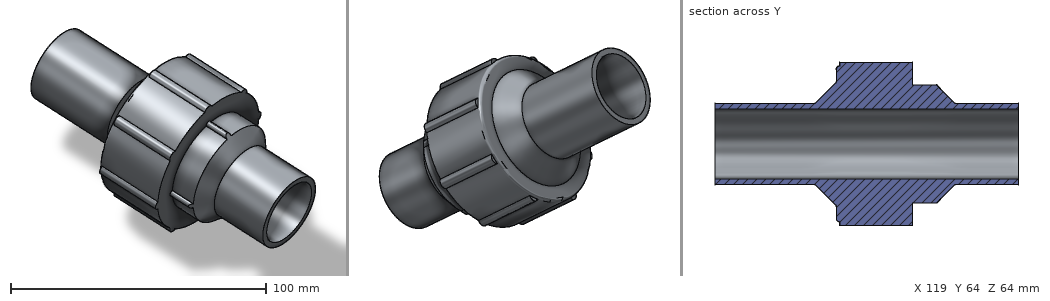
import cadquery as cq
import math


length = 119.0
pipe_radius = 16.0
bore_radius = 13.6

nut_start = 47.5
nut_end = 77.5
nut_radius = 30.6
nut_edge_rounding = 1.35
grip_count = 8
grip_tip_radius = 32.0
grip_rounding = 2.35

left_cone_radius = 24.3
left_cone_start = nut_start - (left_cone_radius - pipe_radius)

collar_radius = 21.8
collar_rib_count = 4
collar_rib_tip_radius = 23.2
collar_rib_rounding = 1.3
right_cone_end = 94.1


def cylinder_along_x(start, end, radius):
    return cq.Workplane("YZ").workplane(offset=start).circle(radius).extrude(end - start)


def revolved_about_x(points):
    return cq.Workplane("XY").polyline(points).close().revolve(360, (0, 0, 0), (1, 0, 0))


def round_ribs(start, end, tip_radius, rounding, count):
    """Rods parallel to X, equally spaced around the axis, reaching out to tip_radius."""
    centre_radius = tip_radius - rounding
    centres = []
    for index in range(count):
        angle = 2 * math.pi * index / count
        centres.append((centre_radius * math.cos(angle), centre_radius * math.sin(angle)))
    plane = cq.Workplane("YZ").workplane(offset=start)
    return plane.pushPoints(centres).circle(rounding).extrude(end - start)


def left_cone():
    return revolved_about_x([
        (left_cone_start, 0),
        (left_cone_start, pipe_radius),
        (nut_start, left_cone_radius),
        (nut_start, 0),
    ])


def nut():
    body = cylinder_along_x(nut_start, nut_end, nut_radius)
    body = body.faces("<X").edges().fillet(nut_edge_rounding)
    grips = round_ribs(
        nut_start + nut_edge_rounding, nut_end, grip_tip_radius, grip_rounding, grip_count
    )
    return body.union(grips)


def collar():
    body = cylinder_along_x(nut_end, right_cone_end, collar_radius)
    ribs = round_ribs(
        nut_end, right_cone_end, collar_rib_tip_radius, collar_rib_rounding, collar_rib_count
    )
    envelope_radius = pipe_radius + right_cone_end - nut_end
    envelope = revolved_about_x([
        (nut_end, 0),
        (nut_end, envelope_radius),
        (right_cone_end, pipe_radius),
        (right_cone_end, 0),
    ])
    return body.union(ribs).intersect(envelope)


pipe = cylinder_along_x(0, length, pipe_radius)
bore = cylinder_along_x(0, length, bore_radius)
result = pipe.union(left_cone()).union(nut()).union(collar()).cut(bore)